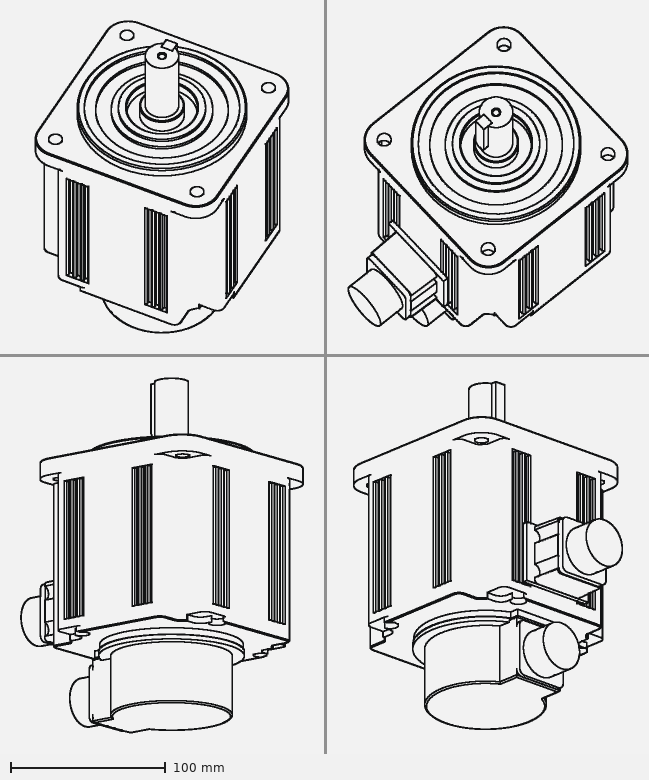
import cadquery as cq
import math


encoder_top = 40.3
rear_ring_top = 43.4
housing_bottom = 47.8
stator_bottom = 58.3
stator_top = 150.2
corner_notch_top = 156.2
flange_top = 167.5
pilot_top = 173.5
collar_top = 175.5
shaft_top = 222.5

housing_side = 130.0
half_side = housing_side / 2
flange_corner_radius = 15.5
edge_chamfer = 0.7
bolt_pitch = 102.5
bolt_hole_diameter = 9.0

notch_wall = 44.3
notch_edge_radius = 5.0
notch_core_chamfer = 4.2
notch_core_radius = 3.0

pocket_height = 4.2
pocket_floor = 49.2
pocket_end = 31.8
pocket_inner_radius = 6.0
pocket_outer_radius = 5.3

grooves_per_group = 3
groove_group_centre = 28.5
groove_pitch = 5.5
groove_width = 3.0
groove_depth = 3.3
rib_tip_radius = 1.1

pilot_radius = 55.0
pilot_chamfer = 1.0
trough_outer_radius = 50.3
trough_floor_outer_radius = 43.0
trough_floor_inner_radius = 33.0
trough_inner_radius = 28.3
trough_step = 2.0
seal_recess_radius = 23.0
seal_recess_depth = 7.1
recess_chamfer = 0.7

collar_radius = 14.5
collar_chamfer = 0.7
shaft_radius = 11.0
centre_hole_radius = 2.2
centre_hole_depth = 12.5
centre_hole_chamfer = 0.7
drill_tip_angle = 118

key_width = 8.0
key_bottom_y = 7.0
key_top_y = 14.0
key_length = 35.5

rear_boss_radius = 46.5
rear_ring_radius = 47.2
rear_tab_width = 35.5
rear_tab_end_y = 49.6
encoder_radius = 39.4
encoder_chamfer = 1.1
encoder_block_top = 41.5
encoder_block_end_y = 50.3

socket_radius = 16.0
socket_length = 19.0
plate_width = 38.5
plate_corner_radius = 4.2
encoder_plate_thickness = 3.0
encoder_socket_z = 20.2
power_socket_z = 80.0
power_pad_width = 54.3
power_pad_height = 41.2
power_pad_thickness = 3.5
power_box_length = 21.4
power_box_width = 41.0
power_box_height = 41.0
power_box_corner_radius = 3.3
power_box_draft = 2.0
power_plate_thickness = 4.0
scallop_radius = 4.7
scallop_offset_z = 12.0


def cylinder(radius, bottom, top):
    return cq.Workplane("XY").workplane(offset=bottom).circle(radius).extrude(top - bottom)


def box_along_y(width, height, start_y, end_y, centre_z):
    """Box centred on x = 0 and on centre_z, running from start_y to end_y."""
    length = end_y - start_y
    return cq.Workplane("XY").box(width, length, height).translate((0, start_y + length / 2, centre_z))


def turned(points):
    """Solid of revolution about Z from its (radius, height) outline."""
    return cq.Workplane("XZ").polyline(points).close().revolve(360, (0, 0), (0, 1))


def around_axis(shape):
    """The four copies of a shape, one for each side of the motor."""
    return [shape.rotate((0, 0, 0), (0, 0, 1), 90 * turn) for turn in range(4)]


def distance_from_axis(edge):
    return math.hypot(edge.Center().x, edge.Center().y)


def make_flange():
    flange = (
        cq.Workplane("XY")
        .workplane(offset=corner_notch_top)
        .rect(housing_side, housing_side)
        .extrude(flange_top - corner_notch_top)
        .edges("|Z")
        .fillet(flange_corner_radius)
        .faces(">Z")
        .chamfer(edge_chamfer)
    )
    bolt_holes = (
        cq.Workplane("XY")
        .workplane(offset=corner_notch_top)
        .rect(bolt_pitch, bolt_pitch, forConstruction=True)
        .vertices()
        .circle(bolt_hole_diameter / 2)
        .extrude(flange_top - corner_notch_top)
    )
    return flange.cut(bolt_holes)


def make_notched_column():
    """Square column below the flange, with a notch along each of its four corners."""
    core_end = notch_wall + notch_core_chamfer
    corner = [
        (half_side, notch_wall),
        (core_end, notch_wall),
        (notch_wall, core_end),
        (notch_wall, half_side),
    ]
    outline = []
    for turn in range(4):
        cosine = round(math.cos(turn * math.pi / 2))
        sine = round(math.sin(turn * math.pi / 2))
        outline += [(x * cosine - y * sine, x * sine + y * cosine) for x, y in corner]
    column = (
        cq.Workplane("XY")
        .workplane(offset=housing_bottom)
        .polyline(outline)
        .close()
        .extrude(corner_notch_top - housing_bottom)
    )
    upright = column.edges("|Z")
    outer_limit = math.hypot(half_side, notch_wall) - notch_edge_radius
    column = upright.filter(lambda edge: distance_from_axis(edge) > outer_limit).fillet(notch_edge_radius)
    core_limit = math.hypot(core_end, notch_wall) + notch_core_radius
    core_edges = column.edges("|Z").filter(lambda edge: distance_from_axis(edge) < core_limit)
    column = core_edges.fillet(notch_core_radius)
    return column.faces("<Z").chamfer(edge_chamfer)


def make_pocket_cutter():
    """Rear pocket that opens from the (-X, -Y) notch into the -Y side."""
    outer_start = (-pocket_end + pocket_outer_radius, -half_side)
    outer_end = (-pocket_end, -half_side + pocket_outer_radius)
    inner_start = (-pocket_end, -pocket_floor - pocket_inner_radius)
    inner_end = (-pocket_end - pocket_inner_radius, -pocket_floor)
    return (
        cq.Workplane("XY")
        .workplane(offset=housing_bottom)
        .moveTo(-notch_wall, -half_side)
        .lineTo(*outer_start)
        .tangentArcPoint(outer_end, relative=False)
        .lineTo(*inner_start)
        .tangentArcPoint(inner_end, relative=False)
        .lineTo(-notch_wall, -pocket_floor)
        .close()
        .extrude(pocket_height)
    )


def make_groove_cutter(centre_x):
    """Cooling groove in the -Y side, flared at its mouth so that the ribs get round tips."""
    half_width = groove_width / 2
    half_mouth = half_width + rib_tip_radius
    tip_end = -half_side + rib_tip_radius
    floor = -half_side + groove_depth
    return (
        cq.Workplane("XY")
        .workplane(offset=stator_bottom)
        .moveTo(centre_x - half_mouth, -half_side)
        .radiusArc((centre_x - half_width, tip_end), rib_tip_radius)
        .lineTo(centre_x - half_width, floor)
        .lineTo(centre_x + half_width, floor)
        .lineTo(centre_x + half_width, tip_end)
        .radiusArc((centre_x + half_mouth, -half_side), rib_tip_radius)
        .close()
        .extrude(stator_top - stator_bottom)
    )


def make_housing():
    housing = make_flange().union(make_notched_column())
    for pocket in around_axis(make_pocket_cutter()):
        housing = housing.cut(pocket)
    for side in (-1, 1):
        for index in range(grooves_per_group):
            offset = (index - (grooves_per_group - 1) / 2) * groove_pitch
            for groove in around_axis(make_groove_cutter(side * groove_group_centre + offset)):
                housing = housing.cut(groove)
    return housing


def make_pilot():
    """Front pilot with a stepped annular trough in its face."""
    trough_ledge = pilot_top - trough_step
    trough_floor = trough_ledge - trough_step
    return turned([
        (0, flange_top),
        (pilot_radius, flange_top),
        (pilot_radius, pilot_top - pilot_chamfer),
        (pilot_radius - pilot_chamfer, pilot_top),
        (trough_outer_radius, pilot_top),
        (trough_outer_radius, trough_ledge),
        (trough_floor_outer_radius, trough_ledge),
        (trough_floor_outer_radius, trough_floor),
        (trough_floor_inner_radius, trough_floor),
        (trough_floor_inner_radius, trough_ledge),
        (trough_inner_radius, trough_ledge),
        (trough_inner_radius, pilot_top),
        (0, pilot_top),
    ])


def make_seal_recess_cutter():
    recess_floor = pilot_top - seal_recess_depth
    return turned([
        (0, recess_floor),
        (seal_recess_radius, recess_floor),
        (seal_recess_radius, pilot_top - recess_chamfer),
        (seal_recess_radius + recess_chamfer, pilot_top),
        (0, pilot_top),
    ])


def make_shaft():
    """Shaft with its collar and a drilled centre hole in its end."""
    hole_tip = centre_hole_radius / math.tan(math.radians(drill_tip_angle / 2))
    hole_bottom = shaft_top - centre_hole_depth
    return turned([
        (0, pilot_top - seal_recess_depth),
        (collar_radius, pilot_top - seal_recess_depth),
        (collar_radius, collar_top - collar_chamfer),
        (collar_radius - collar_chamfer, collar_top),
        (shaft_radius, collar_top),
        (shaft_radius, shaft_top),
        (centre_hole_radius + centre_hole_chamfer, shaft_top),
        (centre_hole_radius, shaft_top - centre_hole_chamfer),
        (centre_hole_radius, hole_bottom),
        (0, hole_bottom - hole_tip),
    ])


def make_key():
    """Flat key with a round lower end, flush with the end of the shaft."""
    half_width = key_width / 2
    round_start = shaft_top - key_length + half_width
    return (
        cq.Workplane("XZ", origin=(0, key_bottom_y, 0))
        .moveTo(-half_width, shaft_top)
        .lineTo(-half_width, round_start)
        .threePointArc((0, shaft_top - key_length), (half_width, round_start))
        .lineTo(half_width, shaft_top)
        .close()
        .extrude(key_bottom_y - key_top_y)
    )


def make_rear_end():
    """Stepped boss, encoder can and the block that carries the encoder connector."""
    boss = cylinder(rear_boss_radius, rear_ring_top, housing_bottom)
    ring = cylinder(rear_ring_radius, encoder_top, rear_ring_top)
    tab_height = housing_bottom - rear_ring_top
    tab = box_along_y(rear_tab_width, tab_height, 0, rear_tab_end_y, rear_ring_top + tab_height / 2)
    can = cylinder(encoder_radius, 0, encoder_top)
    block = box_along_y(
        plate_width, encoder_block_top, 0, encoder_block_end_y, encoder_block_top / 2
    )
    encoder = can.union(block).faces("<Z").chamfer(encoder_chamfer)
    return encoder.union(boss).union(ring).union(tab)


def make_socket(start_y, plate_thickness, centre_z):
    """Round connector socket on a square plate, pointing to +Y."""
    plate_end = start_y + plate_thickness
    plate = box_along_y(plate_width, plate_width, start_y, plate_end, centre_z)
    plate = plate.edges("|Y").fillet(plate_corner_radius)
    barrel = cq.Workplane("XZ", origin=(0, plate_end, centre_z)).circle(socket_radius).extrude(-socket_length)
    return plate.union(barrel)


def make_power_connector():
    """Pad and drafted box on the +Y side, with screw scallops, and the power socket."""
    pad_end = half_side + power_pad_thickness
    box_end = pad_end + power_box_length
    pad = box_along_y(power_pad_width, power_pad_height, half_side, pad_end, power_socket_z)
    connector_box = (
        cq.Workplane("XZ", origin=(0, pad_end, power_socket_z))
        .sketch()
        .rect(power_box_width, power_box_height)
        .vertices()
        .fillet(power_box_corner_radius)
        .finalize()
        .extrude(-power_box_length, taper=power_box_draft)
    )
    scallops = (
        cq.Workplane("XZ", origin=(0, pad_end, power_socket_z))
        .rect(power_box_width, 2 * scallop_offset_z, forConstruction=True)
        .vertices()
        .circle(scallop_radius)
        .extrude(-power_box_length)
    )
    socket = make_socket(box_end, power_plate_thickness, power_socket_z)
    return pad.union(connector_box.cut(scallops)).union(socket)


def make_motor(key):
    """The whole motor, with a keyway in its shaft that fits the key."""
    motor = make_housing().union(make_pilot()).cut(make_seal_recess_cutter())
    motor = motor.union(make_shaft()).union(make_rear_end())
    encoder_socket = make_socket(encoder_block_end_y, encoder_plate_thickness, encoder_socket_z)
    motor = motor.union(make_power_connector()).union(encoder_socket)
    return motor.cut(key)


key = make_key()
motor = make_motor(key)
result = cq.Compound.makeCompound([motor.val(), key.val()])